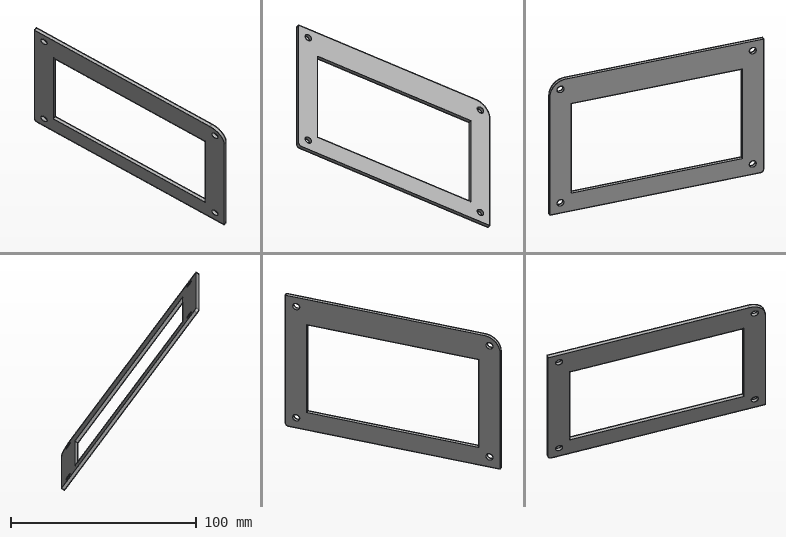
import cadquery as cq

width = 123.2
height = 84.5
thickness = 2.0
large_corner_radius = 9.2
small_corner_radius = 1.8

side_margin = 12.3
top_margin = 16.4
bottom_margin = 11.3
window_width = width - 2 * side_margin
window_height = height - top_margin - bottom_margin
window_center_z = (bottom_margin - top_margin) / 2

hole_diameter = 4.0
hole_spacing_x = 110.9
hole_spacing_z = 72.0
hole_left_inset = 6.3
hole_bottom_inset = 6.5
hole_pattern_center_x = hole_left_inset + (hole_spacing_x - width) / 2
hole_pattern_center_z = hole_bottom_inset + (hole_spacing_z - height) / 2


def centered_box(size_x, size_z):
    return cq.Workplane("XY").box(size_x, thickness, size_z)


def make_plate():
    plate = centered_box(width, height)
    plate = plate.edges("|Y").edges(">X and >Z").fillet(large_corner_radius)
    return plate.edges("|Y").edges("<X and <Z").fillet(small_corner_radius)


def make_window():
    return centered_box(window_width, window_height).translate((0, 0, window_center_z))


def make_holes():
    return (
        cq.Workplane("XZ", origin=(hole_pattern_center_x, thickness / 2, hole_pattern_center_z))
        .rarray(hole_spacing_x, hole_spacing_z, 2, 2)
        .circle(hole_diameter / 2)
        .extrude(thickness)
    )


result = make_plate().cut(make_window()).cut(make_holes())